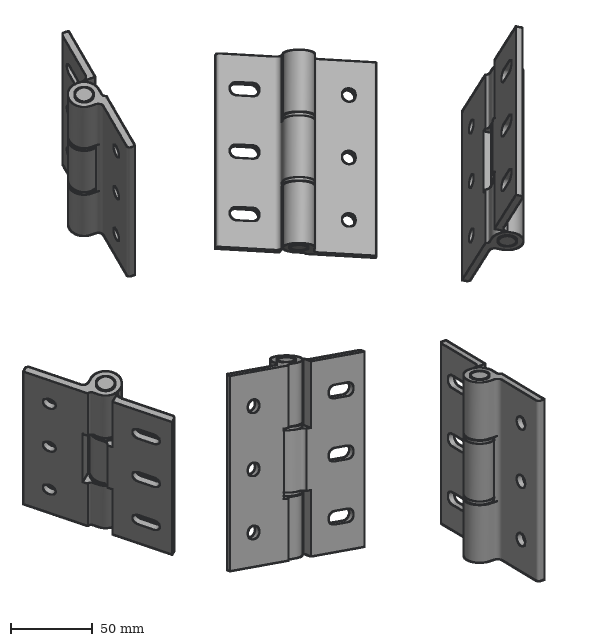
import cadquery as cq
import math

HEIGHT = 124.0
WIDTH = 100.0
HALF_WIDTH = WIDTH / 2

PLATE_THICKNESS = 5.0
EDGE_RADIUS = 2.0
ROOT_RADIUS = 3.5

KNUCKLE_DIAMETER = 20.0
KNUCKLE_RADIUS = KNUCKLE_DIAMETER / 2
DEPTH = 22.0
AXIS_Y = KNUCKLE_RADIUS - DEPTH
PIN_DIAMETER = 12.0
PIN_CHAMFER = 0.5
RELIEF_DEPTH = -(AXIS_Y + KNUCKLE_RADIUS)
RELIEF_RADIUS = 2.5
RELIEF_EDGE_X = 6.6
RELIEF_FLOOR_X = RELIEF_EDGE_X - math.sqrt(RELIEF_DEPTH * (2 * RELIEF_RADIUS - RELIEF_DEPTH))

MIDDLE_LENGTH = 39.5
KNUCKLE_GAP = 2.6
WASHER_THICKNESS = 2.1
MIDDLE_HALF = MIDDLE_LENGTH / 2
OUTER_START = MIDDLE_HALF + KNUCKLE_GAP
OUTER_LENGTH = HEIGHT / 2 - OUTER_START

HOLE_DIAMETER = 8.5
SLOT_LENGTH = 18.5
HOLE_X = 32.5
HOLE_PITCH = 40.0
HOLE_HEIGHTS = [-HOLE_PITCH, 0, HOLE_PITCH]


def extrude_along_z(sketch, bottom, length):
    """Extrude a plan sketch made on the XY plane, starting at the given height."""
    return sketch.extrude(length).translate((0, 0, bottom))


def plate():
    """Full-height flat of a right-hand leaf, ending at the side of the knuckle."""
    profile = (
        cq.Workplane("XY")
        .moveTo(KNUCKLE_RADIUS, 0)
        .lineTo(HALF_WIDTH, 0)
        .lineTo(HALF_WIDTH, EDGE_RADIUS - PLATE_THICKNESS)
        .radiusArc((HALF_WIDTH - EDGE_RADIUS, -PLATE_THICKNESS), EDGE_RADIUS)
        .lineTo(KNUCKLE_RADIUS + ROOT_RADIUS, -PLATE_THICKNESS)
        .radiusArc((KNUCKLE_RADIUS, -PLATE_THICKNESS - ROOT_RADIUS), -ROOT_RADIUS)
        .close()
    )
    return extrude_along_z(profile, -HEIGHT / 2, HEIGHT)


def knuckle(bottom, length):
    """Bored barrel with the web that joins it to a right-hand plate."""
    diagonal = KNUCKLE_RADIUS * math.sqrt(0.5)
    profile = (
        cq.Workplane("XY")
        .moveTo(KNUCKLE_RADIUS, 0)
        .lineTo(RELIEF_EDGE_X, 0)
        .radiusArc((RELIEF_FLOOR_X, -RELIEF_DEPTH), RELIEF_RADIUS)
        .lineTo(0, -RELIEF_DEPTH)
        .threePointArc((-diagonal, AXIS_Y - diagonal), (KNUCKLE_RADIUS, AXIS_Y))
        .close()
    )
    bore = cq.Workplane("XY").center(0, AXIS_Y).circle(PIN_DIAMETER / 2)
    return extrude_along_z(profile, bottom, length).cut(extrude_along_z(bore, bottom, length))


def screw_cutters(x, length):
    """Cutters through a plate: round holes, or slots when longer than the hole diameter."""
    points = [(x, z) for z in HOLE_HEIGHTS]
    sketch = cq.Workplane("XZ").pushPoints(points)
    if length > HOLE_DIAMETER:
        sketch = sketch.slot2D(length, HOLE_DIAMETER)
    else:
        sketch = sketch.circle(HOLE_DIAMETER / 2)
    return sketch.extrude(PLATE_THICKNESS)


def round_hole_leaf():
    """Right leaf: two outer knuckles and round screw holes."""
    leaf = plate()
    for bottom in (-HEIGHT / 2, OUTER_START):
        leaf = leaf.union(knuckle(bottom, OUTER_LENGTH))
    return leaf.cut(screw_cutters(HOLE_X, HOLE_DIAMETER))


def slotted_leaf():
    """Left leaf: one middle knuckle and slotted screw holes."""
    leaf = plate().union(knuckle(-MIDDLE_HALF, MIDDLE_LENGTH)).mirror("YZ")
    return leaf.cut(screw_cutters(-HOLE_X, SLOT_LENGTH))


def hinge_pin():
    """Pin with chamfered ends, over the full height of the hinge."""
    profile = cq.Workplane("XY").center(0, AXIS_Y).circle(PIN_DIAMETER / 2)
    return extrude_along_z(profile, -HEIGHT / 2, HEIGHT).edges("%CIRCLE").chamfer(PIN_CHAMFER)


def washer(bottom):
    """Flat ring around the pin, resting on an end of the middle knuckle."""
    ring = cq.Workplane("XY").center(0, AXIS_Y).circle(KNUCKLE_RADIUS).circle(PIN_DIAMETER / 2)
    return extrude_along_z(ring, bottom, WASHER_THICKNESS)


right_leaf = round_hole_leaf()
left_leaf = slotted_leaf()
pin = hinge_pin()
washers = [washer(bottom) for bottom in (-MIDDLE_HALF - WASHER_THICKNESS, MIDDLE_HALF)]

result = cq.Compound.makeCompound(
    [right_leaf.val(), left_leaf.val(), pin.val(), *[ring.val() for ring in washers]]
)